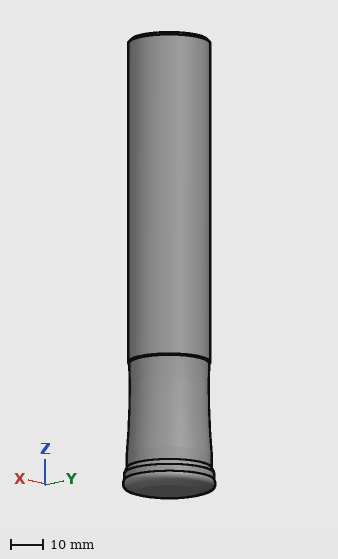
import cadquery as cq
import math

total_length = 142.88
cutter_radius = 28.575 / 2

shank_radius = 25.4 / 2
shank_bottom_z = 41.0
top_chamfer = 1.0

neck_top_radius = 12.45
neck_top_z = 40.6
waist_radius = 12.25
waist_z = 33.3

collar_radius = 13.2
collar_top_z = 11.45
collar_bottom_z = 7.5
shoulder_top_radius = 13.3
shoulder_top_z = 7.2
band_top_radius = 13.95
band_top_z = 5.8
band_bottom_radius = 14.0
band_bottom_z = 4.95
skirt_bottom_radius = 14.05

cutter_top_z = 3.6
corner_radius = 1.6
corner_center_z = 2.55
corner_top_angle = -26.0
corner_bottom_angle = 70.0
face_radius = 9.4
face_bulge = 0.1


def waist_arc_middle(end_radius, end_z):
    """Point halfway along an arc that is parallel to the axis at the waist."""
    rise = end_radius - waist_radius
    return waist_radius + rise / 4, (waist_z + end_z) / 2


def corner_point(angle):
    """Point (radius, z) on the cutting corner, at an angle in degrees below horizontal through its center."""
    turn = math.radians(angle)
    radius = cutter_radius - corner_radius + corner_radius * math.cos(turn)
    return radius, corner_center_z - corner_radius * math.sin(turn)


def revolve_profile(profile):
    """Turn a closed (radius, z) profile drawn on the XZ plane around the Z axis."""
    return profile.close().revolve(360, (0, 0, 0), (0, 1, 0))


def make_holder():
    """Shank, neck and head in one turned body."""
    profile = (
        cq.Workplane("XZ")
        .moveTo(0, cutter_top_z)
        .lineTo(skirt_bottom_radius, cutter_top_z)
        .lineTo(band_bottom_radius, band_bottom_z)
        .lineTo(band_top_radius, band_top_z)
        .lineTo(shoulder_top_radius, shoulder_top_z)
        .lineTo(collar_radius, collar_bottom_z)
        .lineTo(collar_radius, collar_top_z)
        .threePointArc(waist_arc_middle(collar_radius, collar_top_z), (waist_radius, waist_z))
        .threePointArc(waist_arc_middle(neck_top_radius, neck_top_z), (neck_top_radius, neck_top_z))
        .lineTo(shank_radius, shank_bottom_z)
        .lineTo(shank_radius, total_length - top_chamfer)
        .lineTo(shank_radius - top_chamfer, total_length)
        .lineTo(0, total_length)
    )
    return revolve_profile(profile)


def make_cutter():
    """Cutting disc with a rounded corner and a shallow curved end face."""
    corner_end = corner_point(corner_bottom_angle)
    face_middle = ((face_radius + corner_end[0]) / 2, corner_end[1] / 2 - face_bulge)
    profile = (
        cq.Workplane("XZ")
        .lineTo(face_radius, 0)
        .threePointArc(face_middle, corner_end)
        .threePointArc(corner_point(0), corner_point(corner_top_angle))
        .lineTo(skirt_bottom_radius, cutter_top_z)
        .lineTo(0, cutter_top_z)
    )
    return revolve_profile(profile)


holder = make_holder()
cutter = make_cutter()

result = cq.Compound.makeCompound([holder.val(), cutter.val()])